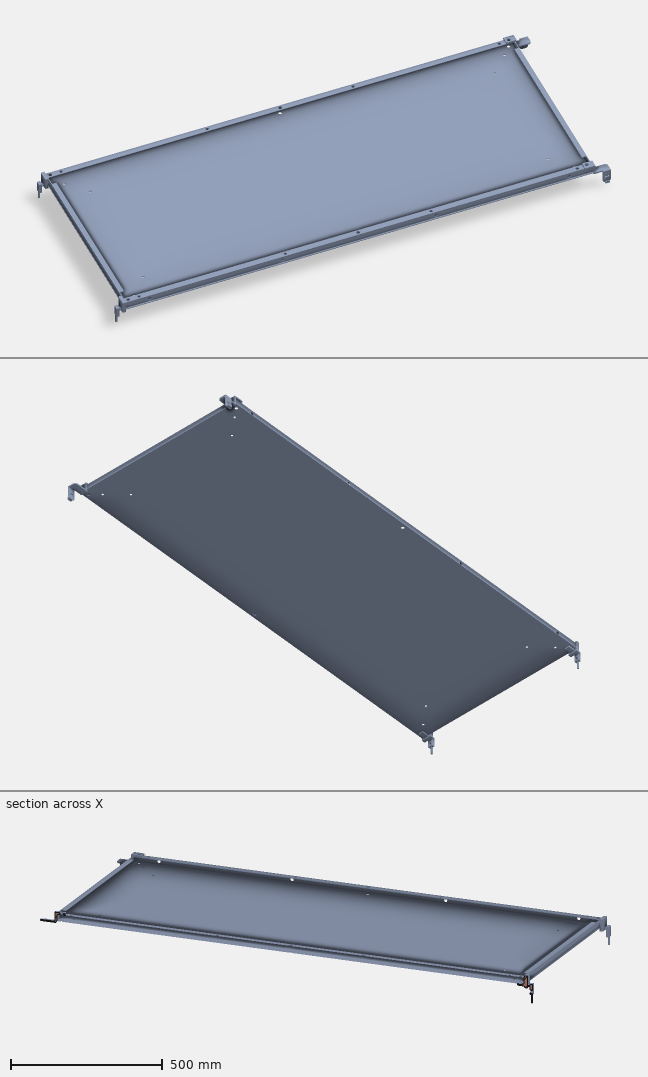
import cadquery as cq

overall_width = 715.0
frame_length = 1675.0
frame_height = 26.0
frame_end = frame_length / 2
sheet = 2.6

deck_width = 685.0
deck_side = deck_width / 2
deck_overhang_side = 5.0
deck_overhang_front = 2.0
deck_overhang_rear = 5.0
deck_front = -frame_end - deck_overhang_front
deck_rear = frame_end + deck_overhang_rear

wall_side = deck_side - deck_overhang_side
rail_width = 21.0
rail_middle = wall_side - rail_width / 2
end_flange_width = 18.0
end_flange_length = 568.0

rail_hole_diameter = 12.0
cross_hole_offsets = (275.0, 751.0)
flange_hole_diameter = 10.0
flange_hole_offsets = (261.0, 785.0)
deck_hole_diameter = 9.0
deck_hole_places = ((293.0, 788.0), (224.0, 725.0))

plate_thickness = 5.0
fitting_top = frame_height + plate_thickness

strip_width = 26.0
rear_tip = 895.0
cap_length = 37.0
tip_radius = 10.0
hook_length = 28.0
hook_depth = 48.0
hook_offset = 4.0
hook_radius = 7.0
foot_width = 15.0
lip_height = 9.0
hook_slot_height = 4.0
hook_slot_middle = -26.0
rear_hole_inset = 20.0

front_plate_width = 37.0
front_plate_thickness = 10.0
front_plate_bottom = -10.0
front_tip = -867.0
tab_middle = 325.0
tab_width = 18.0
tab_thickness = 10.0
tab_top = 5.0
tab_bottom = -32.0
tab_hole_width = 9.0
tab_hole_height = 9.0
tab_hole_middle = -21.0
pin_width = 5.0
pin_bottom = -60.0
strap_length = 26.0
front_hole_inset = 14.0


def block(x_range, y_range, z_range):
    """Box between pairs of limits."""
    size = [high - low for low, high in (x_range, y_range, z_range)]
    corner = (x_range[0], y_range[0], z_range[0])
    return cq.Workplane("XY").box(*size, centered=False).translate(corner)


def span(middle, width):
    """Pair of limits on either side of a middle."""
    return (middle - width / 2, middle + width / 2)


def upright_hole(x, y, diameter, bottom, top):
    """Vertical cylinder for cutting."""
    return cq.Workplane("XY", origin=(x, y, bottom)).circle(diameter / 2).extrude(top - bottom)


def make_rail():
    """Right-hand side wall with its top flange."""
    y_range = (-frame_end, frame_end)
    wall = block((wall_side - sheet, wall_side), y_range, (0, frame_height))
    flange = block((wall_side - rail_width, wall_side), y_range, (frame_height - sheet, frame_height))
    return wall.union(flange)


def make_end(direction):
    """End wall with its top flange; direction is +1 at the rear, -1 at the front."""
    outer = direction * frame_end
    wall_y = sorted((outer, outer - direction * sheet))
    flange_y = sorted((outer, outer - direction * end_flange_width))
    wall = block((-wall_side, wall_side), wall_y, (0, frame_height))
    flange = block(span(0, end_flange_length), flange_y, (frame_height - sheet, frame_height))
    return wall.union(flange)


def make_rear_bracket():
    """Right-hand stepped strip with a hook turned outwards."""
    x_range = (deck_side - strip_width, deck_side)
    arm = block(x_range, (frame_end, rear_tip), (-plate_thickness, 0))
    arm = arm.edges("|Z and >Y and <X").fillet(tip_radius)
    riser = block(x_range, (frame_end, deck_rear), (-plate_thickness, fitting_top))
    cap = block(x_range, (deck_rear - cap_length, deck_rear), (frame_height, fitting_top))

    tip_x = overall_width / 2
    hook_inner = deck_side + hook_offset
    hook_x = (hook_inner, hook_inner + sheet)
    hook_y = (rear_tip - hook_length, rear_tip)
    foot_y = span(rear_tip - hook_length / 2, foot_width)
    shoulder = block((deck_side, hook_inner), hook_y, (-sheet, 0))
    side = block(hook_x, hook_y, (-hook_depth, 0))
    side = side.edges("|X and <Z").fillet(hook_radius)
    side = side.cut(block(hook_x, foot_y, span(hook_slot_middle, hook_slot_height)))
    foot = block((hook_inner, tip_x), foot_y, (-hook_depth, sheet - hook_depth))
    lip = block((tip_x - sheet, tip_x), foot_y, (-hook_depth, lip_height - hook_depth))
    hook = side.union(shoulder).union(foot).union(lip)
    return arm.union(riser).union(cap).union(hook)


def make_front_fitting():
    """Right-hand end plate with its strap, tab and pin."""
    plate_front = deck_front - front_plate_thickness
    tab_x = span(tab_middle, tab_width)
    tab_y = (front_tip, front_tip + tab_thickness)
    plate = block(
        (deck_side - front_plate_width, deck_side),
        (plate_front, -frame_end),
        (front_plate_bottom, fitting_top),
    )
    strap = block(tab_x, (front_tip, strap_length - frame_end), (-plate_thickness, 0))
    tab = block(tab_x, tab_y, (tab_bottom, tab_top))
    window = block(
        span(tab_middle, tab_hole_width), tab_y, span(tab_hole_middle, tab_hole_height)
    )
    pin = block(
        span(tab_middle, pin_width),
        (front_tip, front_tip + pin_width),
        (pin_bottom, tab_bottom),
    )
    return plate.union(strap).union(tab.cut(window)).union(pin)


result = block((-deck_side, deck_side), (deck_front, deck_rear), (0, sheet))
for end in (-1, 1):
    result = result.union(make_end(end))
half = make_rail().union(make_rear_bracket()).union(make_front_fitting())
result = result.union(half).union(half.mirror("YZ"))

for side in (-1, 1):
    rail_x = side * rail_middle
    front_y = front_hole_inset - frame_end
    rear_y = frame_end - rear_hole_inset
    result = result.cut(upright_hole(rail_x, 0, rail_hole_diameter, 0, frame_height))
    result = result.cut(upright_hole(rail_x, front_y, rail_hole_diameter, 0, frame_height))
    result = result.cut(
        upright_hole(rail_x, rear_y, rail_hole_diameter, -plate_thickness, fitting_top)
    )
    for end in (-1, 1):
        for y in flange_hole_offsets:
            flange_hole = upright_hole(
                rail_x, end * y, flange_hole_diameter, frame_height - sheet, frame_height
            )
            result = result.cut(flange_hole)
        for x, y in deck_hole_places:
            result = result.cut(upright_hole(side * x, end * y, deck_hole_diameter, 0, sheet))

for end in (-1, 1):
    for offset in cross_hole_offsets:
        cross_hole = (
            cq.Workplane("YZ", origin=(-wall_side, end * offset, frame_height / 2))
            .circle(rail_hole_diameter / 2)
            .extrude(2 * wall_side)
        )
        result = result.cut(cross_hole)

result = result.clean()